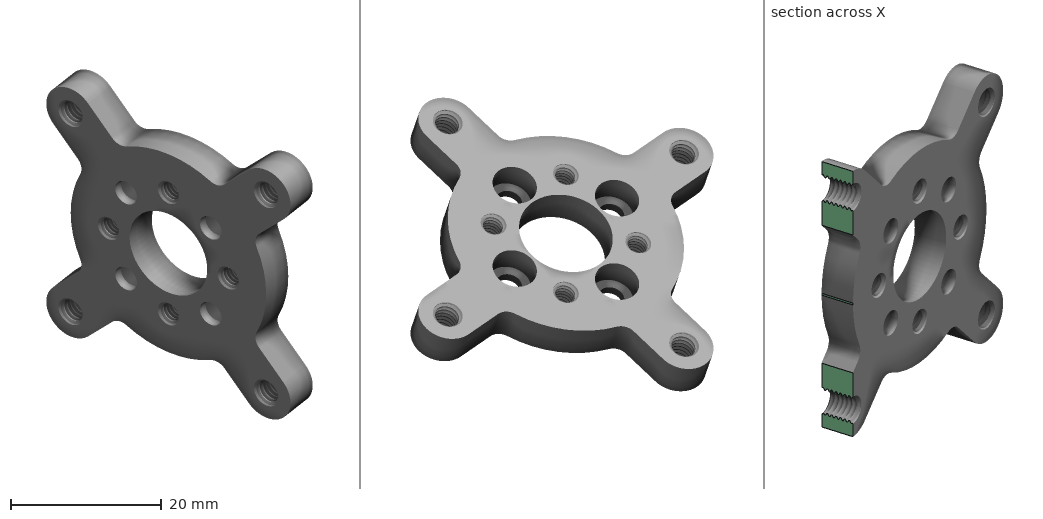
import cadquery as cq
import math

thickness = 5.0
hub_radius = 16.0
bore_diameter = 12.7
corner_fillet = 2.0

lobe_offset = 16.0
lobe_radius = 4.0
arm_length = lobe_offset * math.sqrt(2)

ring_radius = 9.8
plain_diameter = 3.55
counterbore_diameter = 6.0
counterbore_depth = 3.7
first_diagonal = 45.0
quarter_turn = 90.0
full_turn = 360.0
quarters = 4

lobe_thread = (4.0, 3.3, 0.7)
ring_thread = (3.45, 2.75, 0.6)
groove_root_share = 0.125
groove_mouth_share = 0.8
groove_overlap = 0.03
core_seam_angle = 150.0
lead_in_margin = 0.02


def polar_points(radius, start_angle):
    """Four points a quarter turn apart on a circle about the plate axis."""
    angles = [math.radians(start_angle + quarter_turn * i) for i in range(quarters)]
    return [(radius * math.cos(a), radius * math.sin(a)) for a in angles]


lobe_points = polar_points(arm_length, first_diagonal)
plain_points = polar_points(ring_radius, first_diagonal)
ring_thread_points = polar_points(ring_radius, 0.0)


def make_plate():
    """Round hub with four round-ended arms, extruded along Z."""
    plate = cq.Workplane("XY").circle(hub_radius).extrude(thickness)
    for i in range(2):
        arm_angle = first_diagonal + quarter_turn * i
        arm_pair = (
            cq.Workplane("XY")
            .transformed(rotate=(0, 0, arm_angle))
            .slot2D(2 * (arm_length + lobe_radius), 2 * lobe_radius)
            .extrude(thickness)
        )
        plate = plate.union(arm_pair)
    along_arm = math.sqrt(hub_radius**2 - lobe_radius**2)
    near = (along_arm - lobe_radius) / math.sqrt(2)
    far = (along_arm + lobe_radius) / math.sqrt(2)
    middle = thickness / 2
    for sx in (-1, 1):
        for sy in (-1, 1):
            for x, y in ((near, far), (far, near)):
                corner = cq.selectors.NearestToPointSelector((sx * x, sy * y, middle))
                plate = plate.edges("|Z").edges(corner).fillet(corner_fillet)
    return plate


def make_thread_groove(major, minor, pitch):
    """Right-handed helical groove that runs past both faces of the plate."""
    root_radius = major / 2
    inner_radius = minor / 2 - groove_overlap
    half_root = groove_root_share * pitch / 2
    half_mouth = groove_mouth_share * pitch / 2
    start = -pitch
    rise = thickness + 2 * pitch
    path = cq.Wire.makeHelix(pitch, rise, minor / 2, center=cq.Vector(0, 0, start))
    profile = [
        (inner_radius, start - half_mouth),
        (root_radius, start - half_root),
        (root_radius, start + half_root),
        (inner_radius, start + half_mouth),
    ]
    return cq.Workplane("XZ").polyline(profile).close().sweep(cq.Workplane(path), isFrenet=True)


def make_thread_core(major, minor):
    """Drilled hole at the minor diameter, with a 45 degree lead-in at both faces."""
    mouth_radius = major / 2 + lead_in_margin
    core_radius = minor / 2
    lead_in = mouth_radius - core_radius
    profile = [
        (0, 0),
        (mouth_radius, 0),
        (core_radius, lead_in),
        (core_radius, thickness - lead_in),
        (mouth_radius, thickness),
        (0, thickness),
    ]
    core = cq.Workplane("XZ").polyline(profile).close().revolve(full_turn, (0, 0), (0, 1))
    return core.rotate((0, 0, 0), (0, 0, 1), core_seam_angle)


def cut_threaded_holes(plate, points, thread):
    """Cut the same threaded hole, with a lead-in at both faces, at each point."""
    major, minor, pitch = thread
    groove = make_thread_groove(major, minor, pitch)
    core = make_thread_core(major, minor)
    for x, y in points:
        plate = plate.cut(groove.translate((x, y, 0)))
        plate = plate.cut(core.translate((x, y, 0)))
    return plate


def cut_plain_holes(plate, points, diameter):
    """Cut plain holes through the plate."""
    return plate.cut(cq.Workplane("XY").pushPoints(points).circle(diameter / 2).extrude(thickness))


def cut_counterbores(plate, points):
    """Sink a counterbore into the back face (+Y once upright) at each point."""
    pocket_radius = counterbore_diameter / 2
    pockets = cq.Workplane("XY").pushPoints(points).circle(pocket_radius).extrude(counterbore_depth)
    return plate.cut(pockets)


body = make_plate()
body = cut_plain_holes(body, [(0, 0)], bore_diameter)
body = cut_plain_holes(body, plain_points, plain_diameter)
body = cut_counterbores(body, plain_points)
body = cut_threaded_holes(body, lobe_points, lobe_thread)
body = cut_threaded_holes(body, ring_thread_points, ring_thread)

upright = body.rotate((0, 0, 0), (1, 0, 0), quarter_turn).translate((0, thickness / 2, 0))
result = cq.Workplane(upright.solids().val())